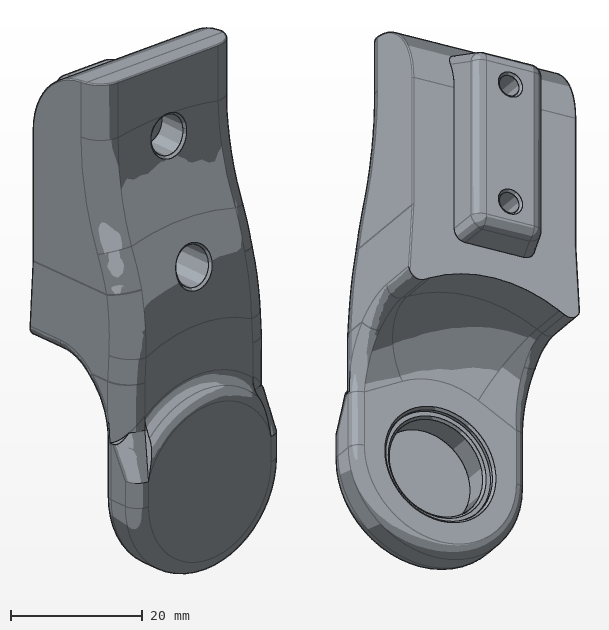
import cadquery as cq
import math


top_z = 67.0
front_round_radius = 12.0
arm_top_depth = 15.0
arm_bottom_depth = 22.0
back_step_inner_radius = 25.85
back_step_outer_radius = 58.55

eye_radius = 15.0
arm_half_width = 14.2
taper_top_z = 33.3
taper_bottom_z = 19.5
bend_length = 0.05
back_edge_radius = 4.0
front_side_radius = 0.2

eye_front_x = 17.0
eye_back_x = 24.5
eye_back_edge_radius = 2.5
front_edge_radius = 1.8
flare_outer_radius = 17.5
flare_inner_radius = 13.3
flare_land = 0.2
blend_top_z = 11.5
blend_bottom_z = 4.2

clearance_radius = 24.2
clearance_half_angle = math.radians(27.7)
clearance_fillet = 10.0

bore_diameter = 16.2
bore_floor_x = 22.35
recess_diameter = 18.5
recess_depth = 1.0
hole_chamfer = 0.4

pad_height = 5.0
pad_width = 14.0
pad_length = 32.0
pad_center_z = 45.0
pad_draft = 15.0
pad_edge_radius = 2.0
pad_root_x = 6.0

screw_positions_z = (35.0, 55.0)
screw_diameter = 3.4
head_diameter = 6.5
head_seat_x = 10.0

margin = 5.0
tolerance = 0.01


def outline():
    """Outline in YZ: round eye, straight sides, tapering to the narrower arm through soft bends."""
    taper = math.atan2(eye_radius - arm_half_width, taper_top_z - taper_bottom_z)
    bend_y = bend_length * math.sin(taper)
    bend_z = bend_length * math.cos(taper)
    return (
        cq.Workplane("YZ")
        .moveTo(-eye_radius, 0)
        .threePointArc((0, -eye_radius), (eye_radius, 0))
        .lineTo(eye_radius, taper_bottom_z - bend_length)
        .tangentArcPoint((eye_radius - bend_y, taper_bottom_z + bend_z), relative=False)
        .lineTo(arm_half_width + bend_y, taper_top_z - bend_z)
        .tangentArcPoint((arm_half_width, taper_top_z + bend_length), relative=False)
        .lineTo(arm_half_width, top_z)
        .lineTo(-arm_half_width, top_z)
        .lineTo(-arm_half_width, taper_top_z + bend_length)
        .tangentArcPoint((-arm_half_width - bend_y, taper_top_z - bend_z), relative=False)
        .lineTo(-eye_radius + bend_y, taper_bottom_z + bend_z)
        .tangentArcPoint((-eye_radius, taper_bottom_z - bend_length), relative=False)
        .close()
    )


def back_envelope(low_x, high_x, inner_radius, outer_radius, limit_radius):
    """Solid of revolution about the eye axis whose back steps from low_x to high_x in two equal arcs."""
    return (
        cq.Workplane("XZ")
        .lineTo(low_x, 0)
        .lineTo(low_x, inner_radius)
        .tangentArcPoint(((low_x + high_x) / 2, (inner_radius + outer_radius) / 2), relative=False)
        .tangentArcPoint((high_x, outer_radius), relative=False)
        .lineTo(high_x, limit_radius)
        .lineTo(0, limit_radius)
        .close()
        .revolve(360, (0, 0, 0), (1, 0, 0))
    )


def make_arm():
    """Arm above the eye axis: rounded top front, stepped back, rounded side edges."""
    arc_inset = front_round_radius * (1 - math.sqrt(0.5))
    profile = (
        cq.Workplane("XZ")
        .lineTo(arm_bottom_depth, 0)
        .lineTo(arm_bottom_depth, top_z)
        .lineTo(front_round_radius, top_z)
        .threePointArc((arc_inset, top_z - arc_inset), (0, top_z - front_round_radius))
        .close()
        .extrude(eye_radius + margin, both=True)
    )
    step = back_envelope(
        arm_bottom_depth, arm_top_depth, back_step_inner_radius, back_step_outer_radius, top_z + eye_radius
    )
    arm = profile.intersect(outline().extrude(eye_back_x)).intersect(step)
    back_edges = cq.selectors.BoxSelector(
        (arm_top_depth - 1, -eye_radius - 1, 1), (arm_bottom_depth + 1, eye_radius + 1, top_z - 1)
    )
    side_edges = arm.edges(back_edges)
    side_edges = side_edges.filter(lambda e: abs(e.Center().y) > arm_half_width - 0.5)
    side_edges = side_edges.filter(lambda e: e.BoundingBox().xmin > arm_top_depth - 0.1)
    arm = side_edges.fillet(back_edge_radius)

    def on_front_side(edge):
        middle = edge.positionAt(0.5)
        on_side = abs(abs(middle.y) - arm_half_width) < tolerance
        above_taper = middle.z > taper_top_z + 2 * bend_length
        at_front = edge.BoundingBox().xmin < tolerance and middle.x < front_round_radius / 2 + 1
        return on_side and above_taper and at_front

    return arm.edges().filter(on_front_side).fillet(front_side_radius)


def make_eye():
    """Eye plate, standing proud of the arm's back and flaring into it."""
    plate = (
        outline().extrude(eye_back_x - eye_front_x)
        .translate((eye_front_x, 0, 0))
        .faces(">X").edges("<Z").fillet(eye_back_edge_radius)
    )
    flare = back_envelope(
        eye_back_x, arm_bottom_depth, flare_inner_radius, flare_outer_radius, flare_outer_radius + flare_land
    )
    return plate.intersect(flare)


def corner_section(corner_x, radius, z):
    """Closed section outside a rounded back corner."""
    y_flat = eye_radius - radius
    x_flat = corner_x - radius
    diagonal = radius * math.sqrt(0.5)
    far_x = eye_back_x + margin
    far_y = eye_radius + margin
    return (
        cq.Workplane("XY", origin=(0, 0, z))
        .moveTo(x_flat, eye_radius)
        .threePointArc((x_flat + diagonal, y_flat + diagonal), (corner_x, y_flat))
        .lineTo(far_x, y_flat)
        .lineTo(far_x, far_y)
        .lineTo(x_flat, far_y)
        .close()
        .wires().val()
    )


def make_corner_blend():
    """Cutter running the arm's back edge rounding into the eye's smaller one."""
    sections = [
        corner_section(eye_back_x, eye_back_edge_radius, blend_bottom_z),
        corner_section(arm_bottom_depth, back_edge_radius, blend_top_z),
    ]
    blend = cq.Workplane(cq.Solid.makeLoft(sections, True))
    straight = cq.Workplane(sections[-1]).toPending().extrude(flare_outer_radius - blend_top_z)
    return blend.union(straight)


def make_clearance():
    """Space in front of the eye plate: round about the eye axis, running out along tangents."""
    arc_y = clearance_radius * math.sin(clearance_half_angle)
    arc_z = clearance_radius * math.cos(clearance_half_angle)
    end_y = eye_radius + margin
    end_z = arc_z - (end_y - arc_y) * math.tan(clearance_half_angle)
    bottom_z = -eye_radius - margin
    return (
        cq.Workplane("YZ", origin=(-margin, 0, 0))
        .moveTo(-end_y, bottom_z)
        .lineTo(end_y, bottom_z)
        .lineTo(end_y, end_z)
        .lineTo(arc_y, arc_z)
        .threePointArc((0, clearance_radius), (-arc_y, arc_z))
        .lineTo(-end_y, end_z)
        .close()
        .extrude(eye_front_x + margin)
        .faces(">X").edges(">Z").fillet(clearance_fillet)
    )


def make_front_envelope():
    """Outline prism with the clearance removed and the rim of that clearance rounded."""
    envelope = outline().extrude(eye_back_x).cut(make_clearance())

    def on_rim(edge):
        middle = edge.positionAt(0.5)
        on_wall = abs(middle.y) > arm_half_width or middle.z < -arm_half_width
        return on_wall and middle.x > tolerance and edge.BoundingBox().xmax < eye_front_x + tolerance

    return envelope.edges().filter(on_rim).fillet(front_edge_radius)


def make_pad():
    """Drafted pad with rounded corners and front edges, rooted inside the block."""
    spread = 2 * pad_root_x * math.tan(math.radians(pad_draft))
    return (
        cq.Workplane("YZ", origin=(pad_root_x, 0, pad_center_z))
        .rect(pad_width + spread, pad_length + spread)
        .extrude(-pad_root_x - pad_height, taper=pad_draft)
        .edges("not >X").fillet(pad_edge_radius)
    )


def chamfered_bore(diameter, start_x, end_x):
    """Bore cutter along +X or -X with a chamfer at its mouth, start_x."""
    direction = math.copysign(1, end_x - start_x)
    radius = diameter / 2
    return (
        cq.Workplane("XY")
        .moveTo(start_x, 0)
        .lineTo(start_x, radius + hole_chamfer)
        .lineTo(start_x + direction * hole_chamfer, radius)
        .lineTo(end_x, radius)
        .lineTo(end_x, 0)
        .close()
        .revolve(360, (0, 0, 0), (1, 0, 0))
    )


def drill(solid):
    """Cut the eye's blind bore with its recess, and the screw holes with their head pockets."""
    solid = solid.cut(chamfered_bore(recess_diameter, eye_front_x, eye_front_x + recess_depth))
    solid = solid.cut(chamfered_bore(bore_diameter, eye_front_x + recess_depth, bore_floor_x))
    shank = chamfered_bore(screw_diameter, -pad_height, eye_back_x)
    reach = head_diameter / 2 + 2 * hole_chamfer
    for z in screw_positions_z:
        head = cq.Workplane("YZ", origin=(head_seat_x, 0, z)).circle(head_diameter / 2).extrude(eye_back_x)
        solid = solid.cut(shank.translate((0, 0, z))).cut(head)
        mouth_box = cq.selectors.BoxSelector(
            (arm_top_depth - 1, -reach, z - reach), (eye_back_x, reach, z + reach)
        )
        solid = solid.edges(mouth_box).chamfer(hole_chamfer)
    return solid


body = make_arm().union(make_eye())
blend = make_corner_blend()
body = body.cut(blend).cut(blend.mirror("XZ"))
body = body.intersect(make_front_envelope())
body = body.union(make_pad())
result = drill(body)